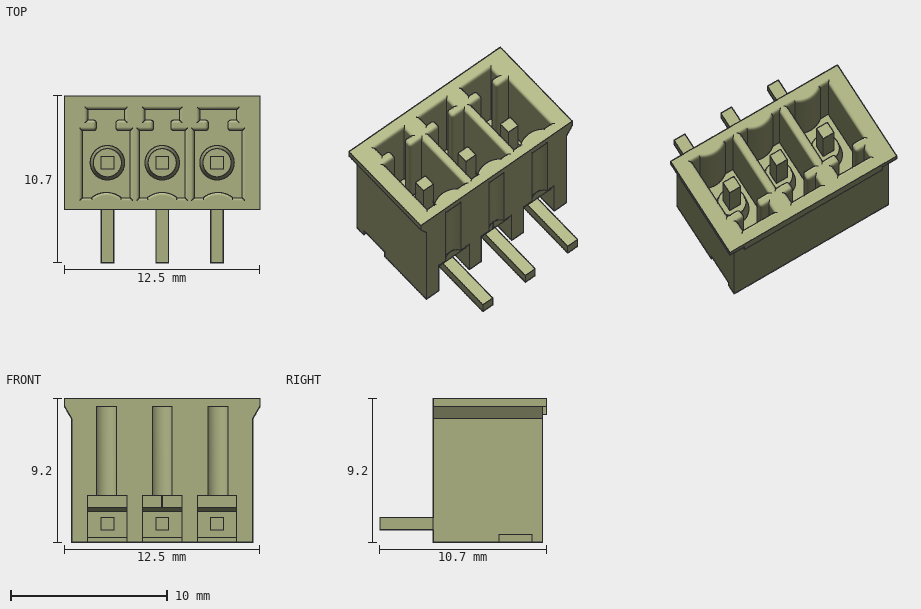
import cadquery as cq

FLANGE_WIDTH = 12.5
BODY_WIDTH = 11.58
BODY_DEPTH = 7.0
HEIGHT = 9.2
FLANGE_RIM = 0.51
FLANGE_SLOPE_END = 1.3
LIP_DEPTH = 0.25
TAB_DROP = 1.04
TAB_INSET = 0.62

PITCH = 3.5
PIN_SIZE = 0.81
PIN_Y = 2.99
PIN_TOP = 7.88
TAIL_Z = 1.2
TAIL_LENGTH = 3.4

FLOOR_Z = 3.25
EDGE_ROUND = 0.2
RIM_BAND = 0.12
MAIN_HALF = 1.45
NECK_HALF = 0.55
SLOT_HALF = 1.1
OUTER_EXTRA = 0.15
CAVITY_FRONT = 0.75
TAB_FRONT = 5.04
TAB_REAR = 5.71
CAVITY_REAR = 6.38

COLLAR_BASE_RADIUS = 1.1
COLLAR_TOP_RADIUS = 0.9
COLLAR_HEIGHT = 1.25

GROOVE_PITCH = 3.56
GROOVE_AXIS_Y = -0.42
GROOVE_RADIUS = 0.76
RIB_RADIUS = 1.51
GROOVE_TOP = HEIGHT - FLANGE_RIM

WINDOW_WIDTH = 2.51
WINDOW_TOP = 3.0
BAND_Y = 0.34
BAND_BOTTOM = 2.22
WINDOW_BACK_Y = 1.41
SLOPE_BOTTOM = 1.99
CHANNEL_HEIGHT = 0.32
SLIT_WIDTH = 0.06
SLIT_DEPTH = 0.5
NOTCH_FRONT = 4.21
NOTCH_REAR = 6.31
NOTCH_HEIGHT = 0.51
NOTCH_INNER_X = PITCH + WINDOW_WIDTH / 2

POSITIONS = (-1, 0, 1)


def box(x_range, y_range, z_range):
    """Axis-aligned block between the given limits."""
    (x0, x1), (y0, y1), (z0, z1) = x_range, y_range, z_range
    return cq.Workplane("XY").box(x1 - x0, y1 - y0, z1 - z0, centered=False).translate((x0, y0, z0))


def centred(width, middle=0.0):
    """Limits of a width centred on a middle value."""
    return (middle - width / 2, middle + width / 2)


def groove_cylinder(position, radius, bottom, top):
    """Upright cylinder on the axis shared by a groove and its rib."""
    cylinder = cq.Workplane("XY").circle(radius).extrude(top - bottom)
    return cylinder.translate((position * GROOVE_PITCH, GROOVE_AXIS_Y, bottom))


def housing():
    """Flanged block with a lip and a tab along its rear side."""
    half_body = BODY_WIDTH / 2
    half_flange = FLANGE_WIDTH / 2
    outline = [
        (-half_body, 0),
        (half_body, 0),
        (half_body, HEIGHT - FLANGE_SLOPE_END),
        (half_flange, HEIGHT - FLANGE_RIM),
        (half_flange, HEIGHT),
        (-half_flange, HEIGHT),
        (-half_flange, HEIGHT - FLANGE_RIM),
        (-half_body, HEIGHT - FLANGE_SLOPE_END),
    ]
    block = cq.Workplane("XZ").polyline(outline).close().extrude(-BODY_DEPTH)
    rear = (BODY_DEPTH, BODY_DEPTH + LIP_DEPTH)
    lip = box(centred(FLANGE_WIDTH), rear, (HEIGHT - FLANGE_RIM, HEIGHT))
    tab = box(centred(BODY_WIDTH - 2 * TAB_INSET), rear, (HEIGHT - TAB_DROP, HEIGHT))
    return block.union(lip).union(tab)


def cavity(position):
    """Keyed plug cavity, wider on the side facing the housing end."""
    left_extra = OUTER_EXTRA if position < 0 else 0.0
    right_extra = OUTER_EXTRA if position > 0 else 0.0
    x = position * PITCH
    left = x - left_extra
    right = x + right_extra
    outline = [
        (left - MAIN_HALF, CAVITY_FRONT),
        (right + MAIN_HALF, CAVITY_FRONT),
        (right + MAIN_HALF, TAB_FRONT),
        (right + NECK_HALF, TAB_FRONT),
        (right + NECK_HALF, TAB_REAR),
        (right + SLOT_HALF, TAB_REAR),
        (right + SLOT_HALF, CAVITY_REAR),
        (left - SLOT_HALF, CAVITY_REAR),
        (left - SLOT_HALF, TAB_REAR),
        (left - NECK_HALF, TAB_REAR),
        (left - NECK_HALF, TAB_FRONT),
        (left - MAIN_HALF, TAB_FRONT),
    ]
    pocket = cq.Workplane("XY").workplane(offset=FLOOR_Z).polyline(outline).close()
    pocket = pocket.extrude(HEIGHT - FLOOR_Z)
    neck_edges = cq.selectors.BoxSelector(
        (left - NECK_HALF - EDGE_ROUND, TAB_FRONT - EDGE_ROUND, FLOOR_Z),
        (right + NECK_HALF + EDGE_ROUND, TAB_REAR + EDGE_ROUND, HEIGHT),
    )
    pocket = pocket.edges("|Z").edges(neck_edges).fillet(EDGE_ROUND)
    return pocket.cut(groove_cylinder(position, RIB_RADIUS, FLOOR_Z, HEIGHT))


def collar(position):
    """Steep cone of material on the cavity floor around the pin."""
    cone = cq.Workplane("XY").circle(COLLAR_BASE_RADIUS)
    cone = cone.workplane(offset=COLLAR_HEIGHT).circle(COLLAR_TOP_RADIUS).loft()
    return cone.translate((position * PITCH, PIN_Y, FLOOR_Z))


def window(position):
    """Stepped opening in the front face, open at the bottom."""
    profile = [
        (0, 0),
        (NOTCH_FRONT, 0),
        (NOTCH_FRONT, CHANNEL_HEIGHT),
        (WINDOW_BACK_Y, CHANNEL_HEIGHT),
        (WINDOW_BACK_Y, SLOPE_BOTTOM),
        (BAND_Y, BAND_BOTTOM),
        (BAND_Y, WINDOW_TOP),
        (0, WINDOW_TOP),
    ]
    opening = cq.Workplane("YZ").polyline(profile).close().extrude(WINDOW_WIDTH / 2, both=True)
    return opening.translate((position * PITCH, 0, 0))


def contact(position):
    """Bent square pin: upright leg in the cavity, tail out of the front."""
    x_range = centred(PIN_SIZE, position * PITCH)
    y_range = centred(PIN_SIZE, PIN_Y)
    z_range = centred(PIN_SIZE, TAIL_Z)
    upright = box(x_range, y_range, (z_range[0], PIN_TOP))
    tail = box(x_range, (-TAIL_LENGTH, y_range[1]), z_range)
    return upright.union(tail)


body = housing()
for place in POSITIONS:
    body = body.cut(cavity(place))

mouth_edges = cq.selectors.BoxSelector(
    (-BODY_WIDTH / 2, CAVITY_FRONT / 2, HEIGHT - RIM_BAND),
    (BODY_WIDTH / 2, BODY_DEPTH, HEIGHT + RIM_BAND),
)
body = body.faces(">Z").edges(mouth_edges).fillet(EDGE_ROUND)

for place in POSITIONS:
    body = body.cut(groove_cylinder(place, GROOVE_RADIUS, WINDOW_TOP, GROOVE_TOP))
    body = body.cut(window(place))

body = body.cut(box(centred(SLIT_WIDTH), (0, SLIT_DEPTH), (BAND_BOTTOM, WINDOW_TOP)))

notch = box((NOTCH_INNER_X, BODY_WIDTH / 2), (NOTCH_FRONT, NOTCH_REAR), (0, NOTCH_HEIGHT))
body = body.cut(notch).cut(notch.mirror("YZ"))

for place in POSITIONS:
    body = body.union(collar(place)).union(contact(place))

result = body